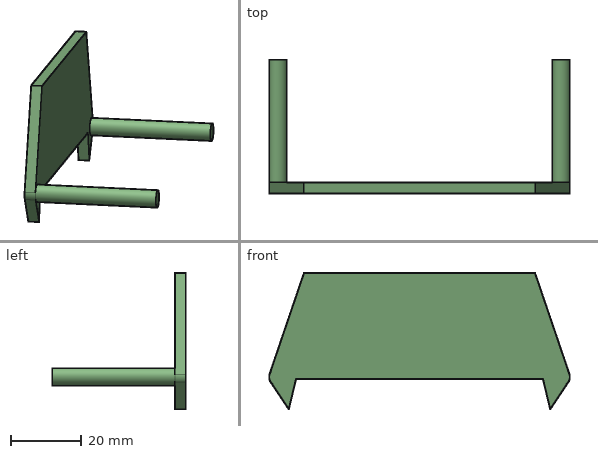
import cadquery as cq
import math

width = 85.5
depth = 38.0
height = 38.8

plate_thickness = 3.2
top_half_width = 32.8
tip_half_span = 37.1
notch_half_width = 35.0
notch_height = 8.6

pin_diameter = 5.0
pin_radius = pin_diameter / 2
pin_x = width / 2 - pin_radius
pin_z = 9.2


def tangent_point(x, z, side):
    """Point where a line from (x, z) touches the right pin; side picks one of the two tangents."""
    dx = x - pin_x
    dz = z - pin_z
    angle = math.atan2(dz, dx) + side * math.acos(pin_radius / math.hypot(dx, dz))
    return pin_x + pin_radius * math.cos(angle), pin_z + pin_radius * math.sin(angle)


def mirrored(point):
    return -point[0], point[1]


def make_plate():
    """Plate with a tapered top, pin-rounded side corners and two pointed feet."""
    top_corner = (top_half_width, height)
    upper_tangent = tangent_point(*top_corner, -1)
    side_point = (width / 2, pin_z)
    foot_tip = (tip_half_span, 0)
    lower_tangent = tangent_point(*foot_tip, 1)
    notch_corner = (notch_half_width, notch_height)
    return (
        cq.Workplane("XZ")
        .moveTo(*mirrored(top_corner))
        .lineTo(*top_corner)
        .lineTo(*upper_tangent)
        .threePointArc(side_point, lower_tangent)
        .lineTo(*foot_tip)
        .lineTo(*notch_corner)
        .lineTo(*mirrored(notch_corner))
        .lineTo(*mirrored(foot_tip))
        .lineTo(*mirrored(lower_tangent))
        .threePointArc(mirrored(side_point), mirrored(upper_tangent))
        .close()
        .extrude(-plate_thickness)
    )


def make_pins():
    """Two round pins standing on the rear face of the plate."""
    return (
        cq.Workplane("XZ", origin=(0, plate_thickness, 0))
        .pushPoints([(-pin_x, pin_z), (pin_x, pin_z)])
        .circle(pin_radius)
        .extrude(plate_thickness - depth)
    )


result = make_plate().union(make_pins(), clean=False)